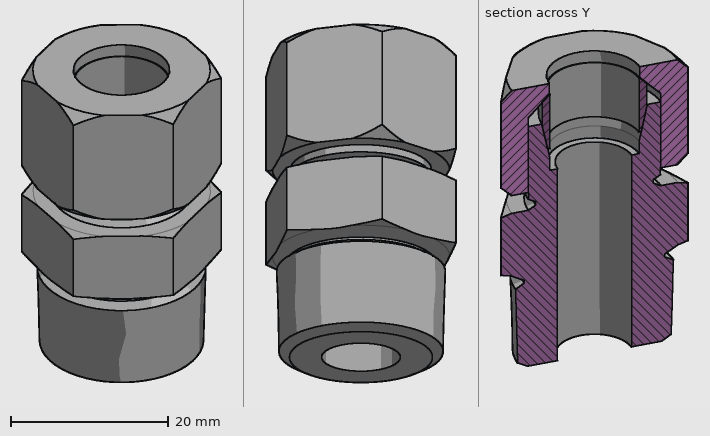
import cadquery as cq
import math

across_corners = 25.4
corner_radius = across_corners / 2
chamfer_circle_radius = 11.28
nut_chamfer_angle = 45.0
body_chamfer_angle = 15.0

total_height = 41.0
nut_height = 15.5
nut_bottom = total_height - nut_height
hex_bottom = 13.7
hex_top = 22.95
stud_top = 35.25

taper_end_radius = 10.45
taper_chamfer = 1.35
taper_top = 11.7
taper_top_radius = 10.75
lower_groove_radius = 9.55

thread_radius = 8.98
upper_groove_radius = 8.0
collar_bottom = 24.5

relief_angle = 30.0

through_radius = 5.0
tube_radius = 6.03
nut_hole_radius = 6.1
nut_hole_depth = 1.7
socket_depth = 7.0
mouth_radius = 7.15
mouth_half_angle = 12.0
ring_insertion = 3.9


def rise(radial_width, angle):
    """Height gained over a radial width by a slope at an angle from horizontal."""
    return radial_width * math.tan(math.radians(angle))


def turn(points):
    """Revolve a closed (radius, height) outline around the Z axis."""
    return cq.Workplane("XZ").polyline(points).close().revolve(360, (0, 0), (0, 1))


def hexagon_prism(bottom, top):
    """Hexagonal prism between two heights."""
    return cq.Workplane("XY").workplane(offset=bottom).polygon(6, across_corners).extrude(top - bottom)


def chamfer_profile(bottom, top, chamfer_angle):
    """Outline points that turn the corners of a hexagon off conically at both ends."""
    drop = rise(corner_radius - chamfer_circle_radius, chamfer_angle)
    return [
        (chamfer_circle_radius, bottom),
        (corner_radius, bottom + drop),
        (corner_radius, top - drop),
        (chamfer_circle_radius, top),
    ]


seat_top = total_height - nut_hole_depth
seat_bottom = seat_top - (thread_radius - nut_hole_radius)


def make_nut():
    """Union nut with a tube hole, a conical seat and a thread bore."""
    cavity = turn([
        (0, nut_bottom),
        (thread_radius, nut_bottom),
        (thread_radius, seat_bottom),
        (nut_hole_radius, seat_top),
        (nut_hole_radius, total_height),
        (0, total_height),
    ])
    envelope = turn([
        (0, nut_bottom),
        *chamfer_profile(nut_bottom, total_height, nut_chamfer_angle),
        (0, total_height),
    ])
    return hexagon_prism(nut_bottom, total_height).intersect(envelope).cut(cavity)


def lower_stud_profile():
    """Tapered stud with an end chamfer and a relief groove; its last flank meets the hexagon."""
    chamfer_top = rise(taper_chamfer, relief_angle)
    groove_bottom = taper_top + rise(taper_top_radius - lower_groove_radius, relief_angle)
    groove_top = hex_bottom - rise(chamfer_circle_radius - lower_groove_radius, relief_angle)
    return [
        (0, 0),
        (taper_end_radius - taper_chamfer, 0),
        (taper_end_radius, chamfer_top),
        (taper_top_radius, taper_top),
        (lower_groove_radius, groove_bottom),
        (lower_groove_radius, groove_top),
    ]


def upper_stud_profile():
    """Straight stud with a relief groove above the hexagon."""
    flank_height = rise(thread_radius - upper_groove_radius, relief_angle)
    return [
        (thread_radius, hex_top),
        (upper_groove_radius, hex_top + flank_height),
        (upper_groove_radius, collar_bottom - flank_height),
        (thread_radius, collar_bottom),
        (thread_radius, stud_top),
        (0, stud_top),
    ]


def make_body_bore():
    """Through bore, stepped out to the tube socket and its cone mouth."""
    socket_floor = stud_top - socket_depth
    mouth_bottom = stud_top - (mouth_radius - tube_radius) / math.tan(math.radians(mouth_half_angle))
    return turn([
        (0, 0),
        (through_radius, 0),
        (through_radius, socket_floor),
        (tube_radius, socket_floor),
        (tube_radius, mouth_bottom),
        (mouth_radius, stud_top),
        (0, stud_top),
    ])


def make_body():
    """Fitting body: a turned blank trimmed to a hexagon and bored through."""
    blank = turn([
        *lower_stud_profile(),
        *chamfer_profile(hex_bottom, hex_top, body_chamfer_angle),
        *upper_stud_profile(),
    ])
    return hexagon_prism(0, stud_top).intersect(blank).cut(make_body_bore())


def make_cutting_ring():
    """Ring held between the cone mouth of the body and the seat of the nut."""
    tip_radius = mouth_radius - ring_insertion * math.tan(math.radians(mouth_half_angle))
    shoulder = seat_top - (mouth_radius - nut_hole_radius)
    tip = stud_top - ring_insertion
    return turn([
        (tube_radius, tip),
        (tip_radius, tip),
        (mouth_radius, stud_top),
        (mouth_radius, shoulder),
        (nut_hole_radius, seat_top),
        (tube_radius, seat_top),
    ])


nut = make_nut()
body = make_body()
cutting_ring = make_cutting_ring()

result = cq.Compound.makeCompound([*nut.solids().vals(), *body.solids().vals(), cutting_ring.val()])